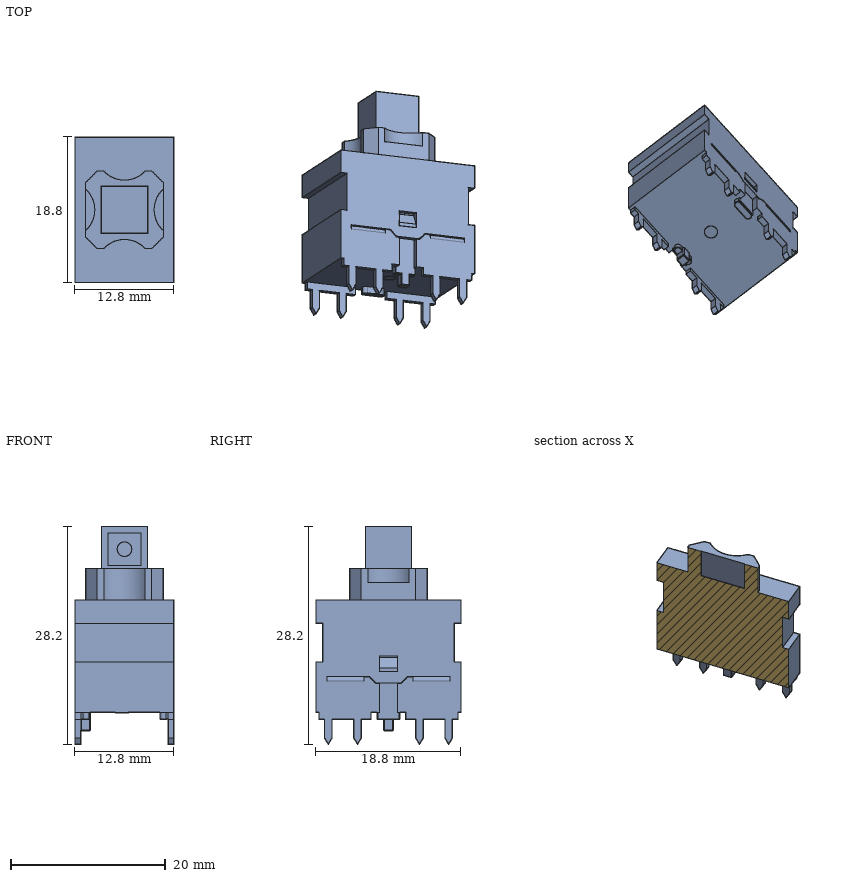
import cadquery as cq

pin_shoulder_z = 0.82
support_pin_z = 1.72
plate_bottom_z = 3.21
housing_bottom_z = 4.15
slot_top_z = 7.95
plate_top_z = 8.77
skirt_top_z = 10.65
flange_bottom_z = 15.65
flange_top_z = 18.67
collar_top_z = 22.75
button_top_z = 28.2

housing_width = 12.8
housing_length = 18.8
neck_length = 17.05
side_x = housing_width / 2

collar_size = 10.05
collar_chamfer = 1.5
scallop_half_chord = 2.68
scallop_sagitta = 1.18
side_scallop_depth = 1.83
button_size = 6.0
button_clearance = 0.05
button_pocket_width = 4.3
button_pocket_height = 4.17
button_pocket_floor_z = 23.15
button_pocket_depth = 2.55
button_stud_diameter = 1.9

terminal_thickness = 0.75
terminal_inner_y = 2.23
terminal_outer_y = 9.0
terminal_pin_centers = (4.0, 7.78)
terminal_pin_width = 1.0
terminal_window_inner_y = 3.15
terminal_window_outer_y = 7.95
terminal_top_radius = 0.55

slot_width = 2.37
gap_thickness = 0.08
gap_ramp_inner_y = 1.64
gap_ramp_outer_y = 2.45

latch_bottom_z = 9.42
latch_ramp_bottom_z = 9.9
latch_ramp_top_z = 11.22
latch_top_z = 11.42
latch_lip_depth = 0.08
latch_depth = 0.85

boss_length = 3.0
boss_thickness = 0.95
boss_center_x = 5.05
boss_chamfer = 0.08
tab_width = 2.7
support_pin_width = 1.25
support_pin_chamfer = 0.1
bump_diameter = 1.7
bump_height = 0.08
bump_x = -0.35


def block(x_range, y_range, z_range):
    """Box spanning the given (low, high) limits on each axis."""
    (x0, x1), (y0, y1), (z0, z1) = x_range, y_range, z_range
    return cq.Workplane("XY").box(x1 - x0, y1 - y0, z1 - z0, centered=False).translate((x0, y0, z0))


def centered_block(width, length, z_range):
    """Box centred on the Z axis."""
    return block((-width / 2, width / 2), (-length / 2, length / 2), z_range)


def both_y(shape):
    """The shape together with its mirror image across the XZ plane."""
    return shape.union(shape.mirror("XZ"))


def make_housing():
    skirt = centered_block(housing_width, housing_length, (housing_bottom_z, skirt_top_z))
    neck = centered_block(housing_width, neck_length, (skirt_top_z, flange_bottom_z))
    flange = centered_block(housing_width, housing_length, (flange_bottom_z, flange_top_z))
    return skirt.union(neck).union(flange)


def make_scallop(bottom_z, angle):
    """Round cutter biting into the collar side that lies at this angle from +X."""
    radius = (scallop_half_chord**2 + scallop_sagitta**2) / (2 * scallop_sagitta)
    center_x = collar_size / 2 - scallop_sagitta + radius
    cutter = cq.Workplane("XY").center(center_x, 0).circle(radius).extrude(collar_top_z - bottom_z)
    return cutter.translate((0, 0, bottom_z)).rotate((0, 0, 0), (0, 0, 1), angle)


def make_collar():
    collar = centered_block(collar_size, collar_size, (flange_top_z, collar_top_z))
    collar = collar.edges("|Z").chamfer(collar_chamfer)
    for angle in (90, 270):
        collar = collar.cut(make_scallop(flange_top_z, angle))
    for angle in (0, 180):
        collar = collar.cut(make_scallop(collar_top_z - side_scallop_depth, angle))
    opening = button_size + 2 * button_clearance
    return collar.cut(centered_block(opening, opening, (flange_top_z, collar_top_z)))


def make_button():
    button = centered_block(button_size, button_size, (flange_top_z, button_top_z))
    front_y = -button_size / 2
    pocket = block(
        (-button_pocket_width / 2, button_pocket_width / 2),
        (front_y, front_y + button_pocket_depth),
        (button_pocket_floor_z, button_pocket_floor_z + button_pocket_height),
    )
    stud = (
        cq.Workplane("XZ", origin=(0, front_y, button_pocket_floor_z + button_pocket_height / 2))
        .circle(button_stud_diameter / 2)
        .extrude(-button_pocket_depth)
    )
    return button.cut(pocket).union(stud)


def make_terminal():
    """Terminal below the housing on the -X, +Y side: a flat strip with two pointed pins."""
    half = terminal_pin_width / 2
    terminal = block(
        (-side_x, -side_x + terminal_thickness),
        (terminal_inner_y, terminal_outer_y),
        (plate_bottom_z, housing_bottom_z),
    )
    for center_y in terminal_pin_centers:
        pin = (
            cq.Workplane("YZ", origin=(-side_x, 0, 0))
            .moveTo(center_y - half, plate_bottom_z)
            .lineTo(center_y - half, pin_shoulder_z)
            .lineTo(center_y, 0)
            .lineTo(center_y + half, pin_shoulder_z)
            .lineTo(center_y + half, plate_bottom_z)
            .close()
            .extrude(terminal_thickness)
        )
        terminal = terminal.union(pin)
    return terminal


def make_terminal_groove():
    """Groove that rounds the top edge of the terminal plate on the -X, +Y side."""
    radius = terminal_top_radius
    return (
        cq.Workplane("XZ", origin=(0, terminal_window_inner_y, 0))
        .moveTo(-side_x, plate_top_z)
        .lineTo(-side_x, plate_top_z - radius)
        .radiusArc((-side_x + radius, plate_top_z), radius)
        .close()
        .extrude(terminal_window_inner_y - terminal_window_outer_y)
    )


def make_post_gap():
    """Thin stepped gap over the post beside the slot on the -X, +Y side."""
    return (
        cq.Workplane("YZ", origin=(-side_x, 0, 0))
        .moveTo(slot_width / 2, slot_top_z)
        .lineTo(gap_ramp_inner_y, slot_top_z)
        .lineTo(gap_ramp_outer_y, plate_top_z)
        .lineTo(terminal_window_inner_y, plate_top_z)
        .lineTo(terminal_window_inner_y, plate_top_z - gap_thickness)
        .lineTo(gap_ramp_outer_y, plate_top_z - gap_thickness)
        .lineTo(gap_ramp_inner_y, slot_top_z - gap_thickness)
        .lineTo(slot_width / 2, slot_top_z - gap_thickness)
        .close()
        .extrude(terminal_thickness)
    )


def make_latch_window():
    """Recess in the -X side whose floor is a ramp falling away upward above a short lip."""
    return (
        cq.Workplane("XZ", origin=(0, slot_width / 2, 0))
        .moveTo(-side_x, latch_bottom_z)
        .lineTo(-side_x + latch_lip_depth, latch_bottom_z)
        .lineTo(-side_x + latch_lip_depth, latch_ramp_bottom_z)
        .lineTo(-side_x + latch_depth, latch_ramp_top_z)
        .lineTo(-side_x + latch_depth, latch_top_z)
        .lineTo(-side_x, latch_top_z)
        .close()
        .extrude(slot_width)
    )


def make_side_cuts():
    """Everything removed from the -X side of the housing."""
    slot = block(
        (-side_x, -side_x + terminal_thickness),
        (-slot_width / 2, slot_width / 2),
        (housing_bottom_z, slot_top_z),
    )
    return slot.union(both_y(make_post_gap())).union(both_y(make_terminal_groove())).union(make_latch_window())


def make_boss():
    """Round-ended boss under the -X side, faced by a flat tab flush with the slot floor."""
    boss = (
        cq.Workplane("XY", origin=(-boss_center_x, 0, plate_bottom_z))
        .slot2D(boss_length, boss_thickness, 90)
        .extrude(housing_bottom_z - plate_bottom_z)
        .faces("<Z")
        .chamfer(boss_chamfer)
    )
    tab = block(
        (-side_x + terminal_thickness, -boss_center_x),
        (-tab_width / 2, tab_width / 2),
        (plate_bottom_z + boss_chamfer, housing_bottom_z),
    )
    return boss.union(tab)


def make_support_pin():
    """Square pin with broken edges standing below the -X boss."""
    front_x = -side_x + terminal_thickness
    pin = block(
        (front_x, front_x + support_pin_width),
        (-support_pin_width / 2, support_pin_width / 2),
        (support_pin_z, housing_bottom_z),
    )
    return pin.edges("|Z or <Z").chamfer(support_pin_chamfer)


def make_bump():
    """Low round bump on the underside of the housing."""
    plane = cq.Workplane("XY", origin=(bump_x, 0, housing_bottom_z))
    return plane.circle(bump_diameter / 2).extrude(-bump_height)


side_cuts = make_side_cuts()
side_parts = both_y(make_terminal()).union(make_boss())

result = (
    make_housing()
    .cut(side_cuts)
    .cut(side_cuts.mirror("YZ"))
    .union(side_parts)
    .union(side_parts.mirror("YZ"))
    .union(make_support_pin())
    .union(make_bump())
    .union(make_collar())
    .union(make_button())
)